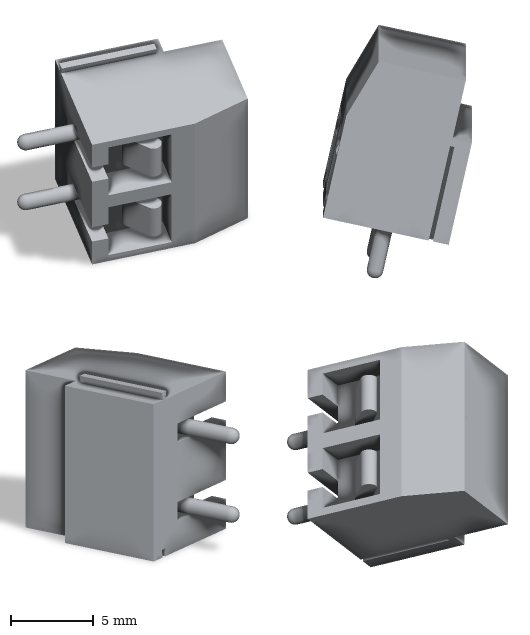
import cadquery as cq
import math


POLES = 2
PITCH = 5.0

WIDTH = 7.8
LENGTH = 10.2
SHOULDER_Y = 6.5
STEP_DEPTH = 1.2
SLANT_DEPTH = 1.2

TAIL_X = 1.11
TAIL_HEIGHT = 0.5
TAIL_TOP_WIDTH = 0.5
TAIL_ROOT_WIDTH = 0.26
TAIL_LENGTH = 6.01

SLOT_START_X = 2.57
SLOT_HEIGHT = 1.2
SLOT_DEPTH = 1.03

OPENING_SIZE = 4.0
OPENING_DEPTH = 1.9

PIN_DIAMETER = 1.0
PIN_REACH = 3.55

CLAMP_RADIUS = 0.5
CLAMP_PROUD = 0.07
CLAMP_OUTER_Y = 4.02
CLAMP_CENTRE_SPACING = 1.65
CLAMP_ANGLE = 42.0
CLAMP_HEIGHT = 2.32

MID_Z = PITCH / 2
PIN_X = WIDTH / 2
OPENING_WALL_X = WIDTH - OPENING_DEPTH


def block(x_start, x_end, y_start, y_end, height):
    """Box between the given X and Y limits, centred on the pole's mid height."""
    size_x = x_end - x_start
    size_y = y_end - y_start
    centre = ((x_start + x_end) / 2, (y_start + y_end) / 2, MID_Z)
    return cq.Workplane("XY").box(size_x, size_y, height).translate(centre)


def make_dovetail(base_z):
    """Dovetail bar rising from base_z and widening upwards."""
    top_z = base_z + TAIL_HEIGHT
    outline = [
        (TAIL_X - TAIL_ROOT_WIDTH / 2, base_z),
        (TAIL_X + TAIL_ROOT_WIDTH / 2, base_z),
        (TAIL_X + TAIL_TOP_WIDTH / 2, top_z),
        (TAIL_X - TAIL_TOP_WIDTH / 2, top_z),
    ]
    return cq.Workplane("XZ").polyline(outline).close().extrude(-TAIL_LENGTH)


def make_clamp():
    """Slanted bar with rounded ends, trimmed flat where it rests on the inner wall of the opening."""
    slope = math.radians(CLAMP_ANGLE)
    outer_x = WIDTH + CLAMP_PROUD - CLAMP_RADIUS
    middle_x = outer_x - CLAMP_CENTRE_SPACING / 2 * math.cos(slope)
    middle_y = CLAMP_OUTER_Y - CLAMP_CENTRE_SPACING / 2 * math.sin(slope)
    bar = (
        cq.Workplane("XY", origin=(middle_x, middle_y, MID_Z - CLAMP_HEIGHT / 2))
        .slot2D(CLAMP_CENTRE_SPACING + 2 * CLAMP_RADIUS, 2 * CLAMP_RADIUS, CLAMP_ANGLE)
        .extrude(CLAMP_HEIGHT)
    )
    behind_wall = block(0, OPENING_WALL_X, 0, LENGTH, PITCH)
    return bar.cut(behind_wall)


def make_pin():
    """Round pin along Y, from the slot's inner face to its hemispherical tip."""
    radius = PIN_DIAMETER / 2
    tip_centre_y = radius - PIN_REACH
    tip_bulge = radius * math.sin(math.radians(45))
    half_profile = (
        cq.Workplane("YZ")
        .moveTo(SLOT_DEPTH, 0)
        .lineTo(SLOT_DEPTH, radius)
        .lineTo(tip_centre_y, radius)
        .threePointArc((tip_centre_y - tip_bulge, tip_bulge), (-PIN_REACH, 0))
        .close()
    )
    return half_profile.revolve(360, (0, 0), (1, 0)).translate((PIN_X, 0, MID_Z))


def make_housing():
    """Housing with dovetail, groove, slot and wire opening."""
    outline = [
        (0, 0),
        (WIDTH, 0),
        (WIDTH, SHOULDER_Y),
        (WIDTH - SLANT_DEPTH, LENGTH),
        (STEP_DEPTH, LENGTH),
        (STEP_DEPTH, SHOULDER_Y),
        (0, SHOULDER_Y),
    ]
    body = cq.Workplane("XY").polyline(outline).close().extrude(PITCH)
    slot = block(SLOT_START_X, WIDTH, 0, SLOT_DEPTH, SLOT_HEIGHT)
    opening = block(OPENING_WALL_X, WIDTH, SLOT_DEPTH, SLOT_DEPTH + OPENING_SIZE, OPENING_SIZE)
    return body.union(make_dovetail(PITCH)).cut(make_dovetail(0)).cut(slot).cut(opening)


def stack(body):
    """One copy of the body for each pole, spaced along Z."""
    return [body.translate((0, 0, pole * PITCH)).solids().val() for pole in range(POLES)]


housings = stack(make_housing())
pins = stack(make_pin())
clamps = stack(make_clamp())

result = cq.Compound.makeCompound([*housings, *pins, *clamps])